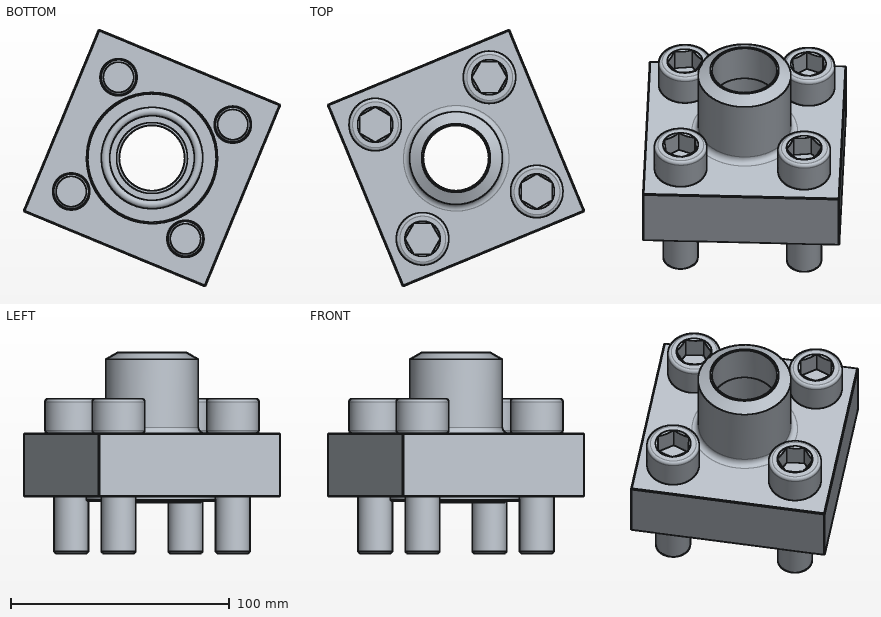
import cadquery as cq
import math

ENVELOPE = 117.2
TURN = 22.5
EDGE_CHAMFER = 0.5
FLANGE_BOTTOM = 26.0
TOTAL_HEIGHT = 92.0

NECK_DIA = 42.4
NECK_ROOT_FILLET = 2.9
BEVEL_HEIGHT = 3.2
BEVEL_ANGLE = 30.0

BORE_DIA = 29.8
PORT_DIA = 32.5
BORE_LENGTH = 18.6

FACE_DIA = 60.0
FACE_HEIGHT = 2.1
FACE_CHAMFER = 0.7
SEAL_OUTER_DIA = 46.4
SEAL_INNER_DIA = 38.7
SEAL_PROTRUSION = 0.7

SCREW_COUNT = 4
BOLT_CIRCLE_DIA = 80.0
SHANK_DIA = 16.0
SHANK_LENGTH = 55.0
SHANK_CHAMFER = 1.0
CLEARANCE_DIA = 17.0
HEAD_DIA = 24.0
HEAD_HEIGHT = SHANK_DIA
HEAD_FILLET = 1.5
SOCKET_CORNER_DIA = 16.2
SOCKET_DEPTH = 10.5
SOCKET_LEAD_IN_ANGLE = 30.0

turn = math.radians(TURN)
corner_loss = 2 * EDGE_CHAMFER * math.sin(turn)
flange_side = (ENVELOPE + corner_loss) / (math.cos(turn) + math.sin(turn))

flange_top = SHANK_LENGTH
flange_thickness = flange_top - FLANGE_BOTTOM
face_bottom = FLANGE_BOTTOM - FACE_HEIGHT

seal_section_radius = (SEAL_OUTER_DIA - SEAL_INNER_DIA) / 4
seal_mid_radius = (SEAL_OUTER_DIA + SEAL_INNER_DIA) / 4
groove_depth = 2 * seal_section_radius - SEAL_PROTRUSION

QUARTER_TURN = 360 / SCREW_COUNT
first_screw_angle = TURN + 45


def cylinder(diameter, bottom, height):
    return cq.Workplane("XY").workplane(offset=bottom).circle(diameter / 2).extrude(height)


def revolve_about_z(profile):
    return profile.close().revolve(360, (0, 0, 0), (0, 1, 0))


def make_block():
    block = cq.Workplane("XY").box(flange_side, flange_side, flange_thickness, centered=(True, True, False))
    return block.edges().chamfer(EDGE_CHAMFER).translate((0, 0, FLANGE_BOTTOM))


def make_neck():
    """Beveled tube blank with a concave fillet flaring onto the block."""
    radius = NECK_DIA / 2
    bevel_width = BEVEL_HEIGHT / math.tan(math.radians(BEVEL_ANGLE))
    fillet_center = (radius + NECK_ROOT_FILLET, flange_top + NECK_ROOT_FILLET)
    fillet_reach = NECK_ROOT_FILLET * math.sqrt(0.5)
    profile = (
        cq.Workplane("XZ")
        .moveTo(0, flange_top)
        .lineTo(radius + NECK_ROOT_FILLET, flange_top)
        .threePointArc(
            (fillet_center[0] - fillet_reach, fillet_center[1] - fillet_reach),
            (radius, flange_top + NECK_ROOT_FILLET),
        )
        .lineTo(radius, TOTAL_HEIGHT - BEVEL_HEIGHT)
        .lineTo(radius - bevel_width, TOTAL_HEIGHT)
        .lineTo(0, TOTAL_HEIGHT)
    )
    return revolve_about_z(profile)


def make_sealing_face():
    return cylinder(FACE_DIA, face_bottom, FACE_HEIGHT).faces("<Z").chamfer(FACE_CHAMFER)


def make_bore():
    port_top = TOTAL_HEIGHT - BORE_LENGTH
    bore = cylinder(BORE_DIA, face_bottom, TOTAL_HEIGHT - face_bottom)
    return bore.union(cylinder(PORT_DIA, face_bottom, port_top - face_bottom))


def make_seal_groove():
    outer = cylinder(SEAL_OUTER_DIA, face_bottom, groove_depth)
    return outer.cut(cylinder(SEAL_INNER_DIA, face_bottom, groove_depth))


def place_on_bolt_circle(body, index):
    """Move a body from the Z axis to a bolt position, turning it with the pattern."""
    angle = math.radians(first_screw_angle + index * QUARTER_TURN)
    radius = BOLT_CIRCLE_DIA / 2
    turned = body.rotate((0, 0, 0), (0, 0, 1), index * QUARTER_TURN)
    return turned.translate((radius * math.cos(angle), radius * math.sin(angle), 0))


def make_flange():
    """Block, neck and sealing face in one piece, bored and drilled for the screws."""
    flange = make_block().union(make_neck()).union(make_sealing_face())
    flange = flange.cut(make_bore()).cut(make_seal_groove())
    flange = flange.rotate((0, 0, 0), (0, 0, 1), TURN)
    hole = cylinder(CLEARANCE_DIA, FLANGE_BOTTOM, flange_thickness)
    for index in range(SCREW_COUNT):
        flange = flange.cut(place_on_bolt_circle(hole, index))
    return flange


def make_seal():
    """O-ring that fills the groove's width and stands slightly proud of the sealing face."""
    center_height = face_bottom + groove_depth - seal_section_radius
    section = cq.Workplane("XZ").center(seal_mid_radius, center_height).circle(seal_section_radius)
    return section.revolve(360, (-seal_mid_radius, 0, 0), (-seal_mid_radius, 1, 0))


def make_socket():
    """Hexagonal recess with a conical lead-in reaching the hexagon's corners."""
    head_top = SHANK_LENGTH + HEAD_HEIGHT
    hexagon = (
        cq.Workplane("XY")
        .workplane(offset=head_top - SOCKET_DEPTH)
        .polygon(6, SOCKET_CORNER_DIA)
        .extrude(SOCKET_DEPTH)
    )
    corner_radius = SOCKET_CORNER_DIA / 2
    cone_depth = corner_radius * math.tan(math.radians(SOCKET_LEAD_IN_ANGLE))
    cone_profile = (
        cq.Workplane("XZ")
        .moveTo(0, head_top)
        .lineTo(corner_radius, head_top)
        .lineTo(0, head_top - cone_depth)
    )
    return hexagon.union(revolve_about_z(cone_profile))


def make_screw():
    shank = cylinder(SHANK_DIA, 0, SHANK_LENGTH).faces("<Z").chamfer(SHANK_CHAMFER)
    head = cylinder(HEAD_DIA, SHANK_LENGTH, HEAD_HEIGHT).edges("%CIRCLE").fillet(HEAD_FILLET)
    return head.union(shank).cut(make_socket())


flange = make_flange()
seal = make_seal()
screw = make_screw()
screws = [place_on_bolt_circle(screw, index) for index in range(SCREW_COUNT)]

result = cq.Compound.makeCompound([flange.val(), seal.val(), *[body.val() for body in screws]])